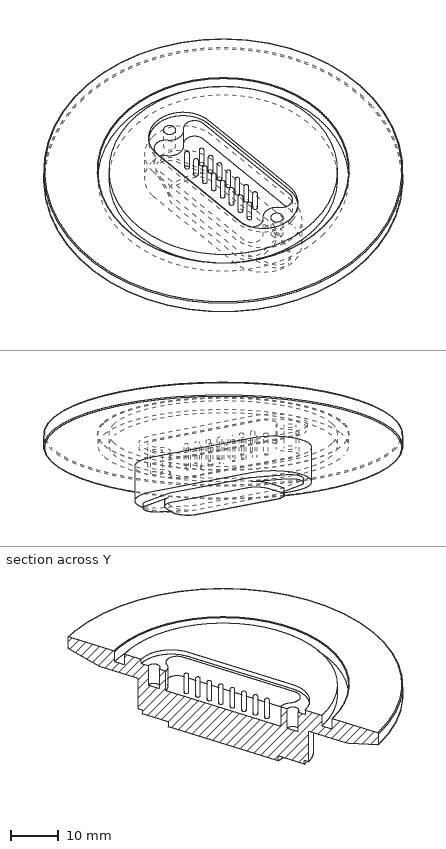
import cadquery as cq
import math

FLANGE_RADIUS = 37.5
RIM_HEIGHT = 3.1
FLAT_RADIUS = 29.8
TAPER_ANGLE = 15.0
RIM_CHAMFER = 0.2

GROOVE_OUTER_RADIUS = 26.15
GROOVE_INNER_RADIUS = 23.8
GROOVE_DEPTH = 2.6
GROOVE_CHAMFER = 0.15

END_CENTER_X = 12.5
BOSS_RADIUS = 8.0
BOSS_BOTTOM = -12.6
RECESS_RADIUS = 7.2
RECESS_DEPTH = 1.05

SCREW_X = 16.7
SCREW_DIAMETER = 2.55
EAR_RADIUS = 2.9
POCKET_HALF_WIDTH = 6.45
POCKET_CORNER_RADIUS = 2.3
POCKET_BOTTOM = -5.85

PIN_DIAMETER = 1.0
PIN_HEIGHT = 4.65
PIN_TIP_ROUND = 0.4
PIN_PITCH = 2.8
PIN_ROW_Y = 1.4
LONG_ROW_PINS = 8

SHELL_BOTTOM = -14.7
SHELL_HALF_WIDTH = 5.2
SHELL_CORNER_RADIUS = 3.5
SHELL_WIDE_CORNER_X = 10.0
SHELL_SIDE_ANGLE = 10.0
LUG_RADIUS = 2.85
LUG_BOTTOM = -13.5


def prism(sketch, bottom, top):
    """Extrude a closed XY outline between two heights."""
    return sketch.extrude(top - bottom).translate((0, 0, bottom))


def stadium(radius):
    """Long slot outline whose round ends are centred on END_CENTER_X."""
    return cq.Workplane("XY").slot2D(2 * (END_CENTER_X + radius), 2 * radius)


def flange():
    """Turned disc with a tapered underside and an open ring groove."""
    taper_start = FLANGE_RADIUS - RIM_CHAMFER
    taper_height = (taper_start - FLAT_RADIUS) * math.tan(math.radians(TAPER_ANGLE))
    bottom = -RIM_HEIGHT - taper_height
    profile = [
        (0, 0),
        (-GROOVE_INNER_RADIUS, 0),
        (-GROOVE_INNER_RADIUS, -GROOVE_DEPTH),
        (-GROOVE_OUTER_RADIUS, -GROOVE_DEPTH),
        (-GROOVE_OUTER_RADIUS, -GROOVE_CHAMFER),
        (-GROOVE_OUTER_RADIUS - GROOVE_CHAMFER, 0),
        (-taper_start, 0),
        (-FLANGE_RADIUS, -RIM_CHAMFER),
        (-FLANGE_RADIUS, RIM_CHAMFER - RIM_HEIGHT),
        (-taper_start, -RIM_HEIGHT),
        (-FLAT_RADIUS, bottom),
        (0, bottom),
    ]
    return cq.Workplane("XZ").polyline(profile).close().revolve(360, (0, 0), (0, 1))


def pocket():
    """Pocket whose corner rounds run tangent into the two screw ears."""
    corner_y = POCKET_HALF_WIDTH - POCKET_CORNER_RADIUS
    center_distance = EAR_RADIUS + POCKET_CORNER_RADIUS
    corner_x = SCREW_X - math.sqrt(center_distance**2 - corner_y**2)
    corner_end_x = corner_x + POCKET_CORNER_RADIUS
    ear_tip_x = SCREW_X - EAR_RADIUS

    touch_x = SCREW_X - (SCREW_X - corner_x) * EAR_RADIUS / center_distance
    touch_y = corner_y * EAR_RADIUS / center_distance

    outline = cq.Workplane("XY").moveTo(-corner_x, -POCKET_HALF_WIDTH)
    for side in (1, -1):
        outline = (
            outline.lineTo(side * corner_x, -side * POCKET_HALF_WIDTH)
            .threePointArc((side * corner_end_x, -side * corner_y), (side * touch_x, -side * touch_y))
            .threePointArc((side * ear_tip_x, 0), (side * touch_x, side * touch_y))
            .threePointArc(
                (side * corner_end_x, side * corner_y),
                (side * corner_x, side * POCKET_HALF_WIDTH),
            )
        )
    return prism(outline.close(), POCKET_BOTTOM, 0)


def pins():
    """Two staggered rows of pins with rounded tips."""
    long_row = [((i - (LONG_ROW_PINS - 1) / 2) * PIN_PITCH, -PIN_ROW_Y) for i in range(LONG_ROW_PINS)]
    short_row = [(x + PIN_PITCH / 2, PIN_ROW_Y) for x, _ in long_row[:-1]]
    return (
        cq.Workplane("XY", origin=(0, 0, POCKET_BOTTOM))
        .pushPoints(long_row + short_row)
        .circle(PIN_DIAMETER / 2)
        .extrude(PIN_HEIGHT)
        .faces(">Z")
        .fillet(PIN_TIP_ROUND)
    )


def shell_corners():
    """Centres of the wide and the narrow corner rounds of the shell on the +X side."""
    corner_y = SHELL_HALF_WIDTH - SHELL_CORNER_RADIUS
    narrow_x = SHELL_WIDE_CORNER_X - 2 * corner_y * math.tan(math.radians(SHELL_SIDE_ANGLE))
    return (SHELL_WIDE_CORNER_X, -corner_y), (narrow_x, corner_y)


def shell():
    """D-shaped block with straight sloping ends."""
    slope = math.radians(SHELL_SIDE_ANGLE)
    corner_reach = SHELL_CORNER_RADIUS * (1 / math.cos(slope) + math.tan(slope))
    wide_x = SHELL_WIDE_CORNER_X + corner_reach
    narrow_x = wide_x - 2 * SHELL_HALF_WIDTH * math.tan(slope)
    outline = [
        (wide_x, -SHELL_HALF_WIDTH),
        (narrow_x, SHELL_HALF_WIDTH),
        (-narrow_x, SHELL_HALF_WIDTH),
        (-wide_x, -SHELL_HALF_WIDTH),
    ]
    block = prism(cq.Workplane("XY").polyline(outline).close(), SHELL_BOTTOM, BOSS_BOTTOM)
    return block.edges("|Z").fillet(SHELL_CORNER_RADIUS)


def tangent_points(corner, turn):
    """Ends of the outer tangent between a shell corner (x > 0) and the lug round beside it.

    turn is 1 on the +Y side and -1 on the -Y side.
    """
    corner_x, corner_y = corner
    run = SCREW_X - corner_x
    distance = math.hypot(run, corner_y)
    slope = math.atan2(abs(corner_y), run) + math.asin((SHELL_CORNER_RADIUS - LUG_RADIUS) / distance)
    normal = (math.sin(slope), turn * math.cos(slope))
    on_shell = (
        corner_x + SHELL_CORNER_RADIUS * normal[0],
        corner_y + SHELL_CORNER_RADIUS * normal[1],
    )
    on_lug = (SCREW_X + LUG_RADIUS * normal[0], LUG_RADIUS * normal[1])
    return on_shell, on_lug


def lugs():
    """Plates that run from the shell corners to a round end below each screw hole."""
    wide_corner, narrow_corner = shell_corners()
    wide_shell, wide_lug = tangent_points(wide_corner, -1)
    narrow_shell, narrow_lug = tangent_points(narrow_corner, 1)
    outline = (
        cq.Workplane("XY")
        .moveTo(*wide_shell)
        .lineTo(*wide_lug)
        .threePointArc((SCREW_X + LUG_RADIUS, 0), narrow_lug)
        .lineTo(*narrow_shell)
        .close()
    )
    lug = prism(outline, LUG_BOTTOM, BOSS_BOTTOM)
    return lug.union(lug.mirror("YZ"))


def screw_holes():
    """Blind holes through the ears, as deep as the pocket."""
    return (
        cq.Workplane("XY")
        .pushPoints([(-SCREW_X, 0), (SCREW_X, 0)])
        .circle(SCREW_DIAMETER / 2)
        .extrude(POCKET_BOTTOM)
    )


body = flange().union(prism(stadium(BOSS_RADIUS), BOSS_BOTTOM, -GROOVE_DEPTH))
body = body.union(shell()).union(lugs())
body = body.cut(prism(stadium(RECESS_RADIUS), -RECESS_DEPTH, 0))
body = body.cut(pocket()).cut(screw_holes())
result = body.union(pins())